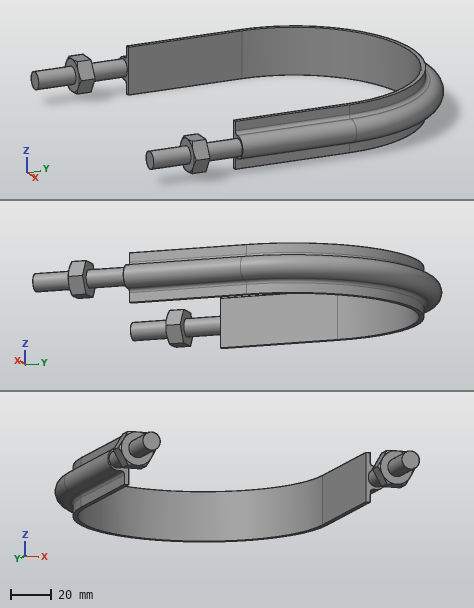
import cadquery as cq
import math

overall_length = 184.1
rod_diameter = 9.2
rod_radius = rod_diameter / 2
bend_radius = 68.5

strip_inner_radius = 62.6
strip_thickness = 2.4
strip_outer_radius = strip_inner_radius + strip_thickness
strip_height = 25.0
rib_radius = 5.9
rib_wall = 0.7
rib_fillet = 1.8
liner_leg_length = 62.0

nut_flats = 17.0
nut_corners = nut_flats / math.cos(math.pi / 6)
nut_thickness = 8.1
nut_chamfer_angle = 25.0
thread_end_beyond_nut = 20.3

rib_top = bend_radius + rod_radius + rib_wall
rib_centre = rib_top - rib_radius
rod_leg_length = overall_length - rib_top


def sweep_u(section, leg_length):
    """Carry a closed section on the +X side around the bend and along both legs."""
    leg = section.extrude(leg_length)
    leg_start = leg.faces(">Y").wires().toPending()
    bend = leg_start.revolve(180, (0, 0, 0), (0, 1, 0), combine=False)
    return bend.union(leg).union(leg.mirror("YZ"))


def make_rod():
    section = cq.Workplane("XZ").moveTo(bend_radius, 0).circle(rod_radius)
    return sweep_u(section, rod_leg_length)


def make_liner(rod):
    half_height = strip_height / 2
    fillet_x = strip_outer_radius + rib_fillet
    fillet_z = math.sqrt((rib_radius + rib_fillet) ** 2 - (rib_centre - fillet_x) ** 2)
    rib_share = rib_radius / (rib_radius + rib_fillet)
    tangent_x = rib_centre + (fillet_x - rib_centre) * rib_share
    tangent_z = fillet_z * rib_share
    end_angle = math.atan2(tangent_z - fillet_z, tangent_x - fillet_x)
    middle_angle = (end_angle - math.pi) / 2
    middle_x = fillet_x + rib_fillet * math.cos(middle_angle)
    middle_z = fillet_z + rib_fillet * math.sin(middle_angle)

    profile = (
        cq.Workplane("XZ")
        .moveTo(strip_inner_radius, -half_height)
        .lineTo(strip_outer_radius, -half_height)
        .lineTo(strip_outer_radius, -fillet_z)
        .threePointArc((middle_x, -middle_z), (tangent_x, -tangent_z))
        .threePointArc((rib_top, 0), (tangent_x, tangent_z))
        .threePointArc((middle_x, middle_z), (strip_outer_radius, fillet_z))
        .lineTo(strip_outer_radius, half_height)
        .lineTo(strip_inner_radius, half_height)
        .close()
    )
    return sweep_u(profile, liner_leg_length).cut(rod)


def make_nut(side):
    """Hex nut on one leg (side -1 or +1), chamfered on its outer -Y face."""
    outer_face_y = -rod_leg_length + thread_end_beyond_nut
    inner_face_y = outer_face_y + nut_thickness
    plane = cq.Workplane("XZ", origin=(side * bend_radius, inner_face_y, 0))
    blank = plane.polygon(6, nut_corners).extrude(nut_thickness)
    cone_slope = math.tan(math.radians(nut_chamfer_angle))
    cone_base_radius = nut_flats / 2 + nut_thickness / cone_slope
    envelope = cq.Workplane(
        cq.Solid.makeCone(
            cone_base_radius,
            nut_flats / 2,
            nut_thickness,
            cq.Vector(side * bend_radius, inner_face_y, 0),
            cq.Vector(0, -1, 0),
        )
    )
    bore = plane.circle(rod_radius).extrude(nut_thickness)
    return blank.intersect(envelope).cut(bore)


rod = make_rod()
liner = make_liner(rod)
nuts = [make_nut(side) for side in (-1, 1)]

result = cq.Compound.makeCompound([rod.val(), liner.val(), *[nut.val() for nut in nuts]])